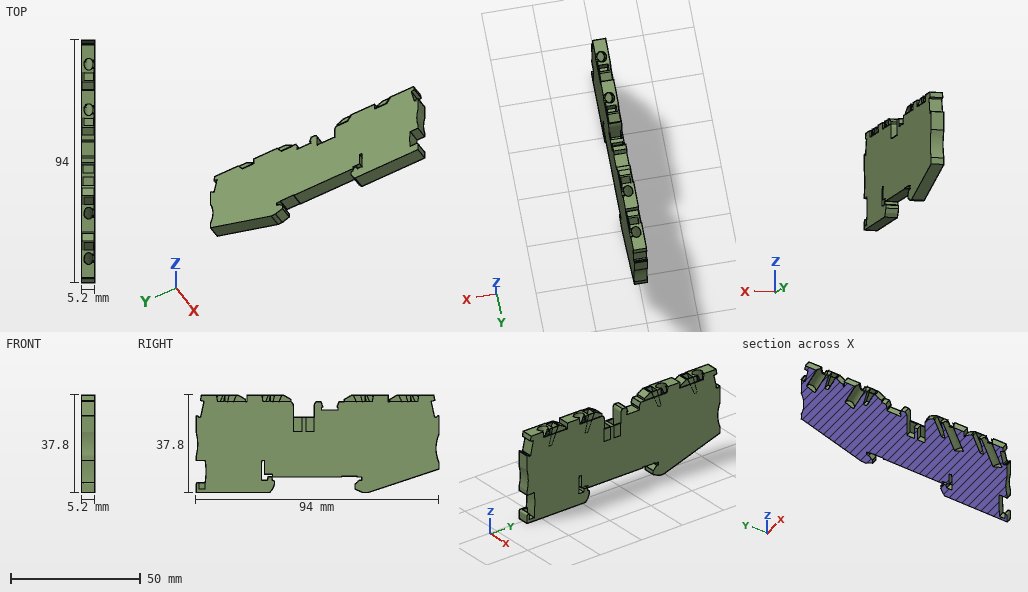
import cadquery as cq
import math

length = 94.0
width = 5.2
height = 37.8
half = length / 2

ledge_z = 35.25
lip_z = 36.1
shoulder_z = 33.6
channel_z = 29.2
rail_z = 6.0
hook_z = 4.9

channel_left = -1.3
channel_right = -9.3
post_corner_mid = (-1.0, 34.7)
channel_corner_mid = (-9.6, 34.5)

slot_edge = -43.5
slot_top = 12.4
slot_bottom = 3.95
slot_bulge = 0.3

heel_radius = 0.75
heel_thickness = 1.1
heel_skin = 0.8
heel_recess_depth = 2.4

left_grip_bottom = 11.7
left_grip_top = 22.7
left_grip_depth = 1.1
right_grip_bottom = 14.3
right_grip_top = 23.3
right_grip_depth = 0.6

pitch = 17.6
terminal_offsets = (0.0, pitch)
slope_start = 16.3
slope_end = 19.2
terminal_end = 19.6
relief_depth = 0.3
relief_start = 12.7
relief_foot = 14.4

tilt = 24.0
hole_x = 2.8
hole_width = 3.6
hole_length = 4.1
hole_from_end = 9.4
hole_depth = 12.2
notch_x = 4.4
notch_start = 7.8
notch_end = 11.1
notch_flare = 0.5
pocket_x = 1.0
pocket_width = 3.7
pocket_start = 12.8
pocket_length = 2.8
pocket_outer_tilt = 14.0
pocket_drop = 7.5

socket_x = 0.6
socket_width = 4.2
socket_length = 3.2
socket_depth = 5.6
socket_centers = (channel_left - socket_length / 2, channel_right + socket_length / 2)


def profile(points, x_start, thickness):
    """Extrude a closed YZ polygon along +X."""
    return cq.Workplane("YZ", origin=(x_start, 0, 0)).polyline(points).close().extrude(thickness)


def at_end(side, points):
    """Turn (distance from end, Z) into (Y, Z) at the +Y (side 1) or -Y (side -1) end."""
    return [(side * (half - inward), z) for inward, z in points]


def end_lip():
    """Finger notch and overhanging lip at the top corner of each end."""
    return [
        (0.0, 29.7),
        (0.4, 29.9),
        (1.1, 29.2),
        (1.7, 29.3),
        (3.0, 35.3),
        (2.1, 35.5),
        (1.6, 35.7),
        (2.0, height),
    ]


def terminal_tops():
    """Tops of the two terminals with the step between them."""
    return [
        (slope_start, height),
        (slope_end, lip_z),
        (slope_end, ledge_z),
        (terminal_end, ledge_z),
        (terminal_end, height),
        (pitch + slope_start, height),
        (pitch + slope_end, lip_z),
        (pitch + slope_end, ledge_z),
    ]


def make_body():
    """Full-width body with its outer contour, before any recesses."""
    top_half = end_lip() + terminal_tops()
    left_top = at_end(1, top_half)
    right_top = at_end(-1, top_half[::-1])
    marker_groove = [
        (8.3, ledge_z),
        (7.4, 33.2),
        (7.8, 33.0),
        (7.8, 32.1),
        (1.6, 32.1),
        (1.6, 33.0),
        (2.1, 33.2),
        (1.3, ledge_z),
        (-0.5, ledge_z),
    ]
    left_grip_mid = (left_grip_bottom + left_grip_top) / 2
    right_grip_mid = (right_grip_bottom + right_grip_top) / 2
    slot_mid = (slot_top + slot_bottom) / 2
    heel_y = heel_radius - half
    heel_z = slot_bottom - heel_radius
    heel_reach = heel_radius * math.sqrt(0.5)
    spring_foot = [
        (-18.5, 0.0),
        (-17.4, 1.4),
        (-16.6, 3.2),
        (-16.6, 4.4),
        (-17.5, hook_z),
        (-17.7, 6.2),
        (-19.2, 6.2),
        (-19.5, hook_z),
        (-21.7, hook_z),
        (-21.7, 11.7),
        (-21.4, 12.4),
        (-20.6, 12.4),
        (-20.6, 7.05),
        (-17.5, 7.05),
        (-17.5, rail_z),
    ]
    fixed_foot = [
        (9.3, rail_z),
        (9.3, 6.3),
        (15.3, 6.3),
        (15.3, rail_z),
        (17.0, rail_z),
        (17.0, hook_z),
        (16.2, hook_z),
        (14.4, 3.2),
        (14.4, 1.4),
        (17.5, 0.0),
        (19.5, 0.0),
        (half, 9.1),
        (half, left_grip_bottom),
    ]
    return (
        cq.Workplane("YZ")
        .polyline(left_top + marker_groove)
        .threePointArc(post_corner_mid, (channel_left, shoulder_z))
        .lineTo(channel_left, channel_z)
        .lineTo(channel_right, channel_z)
        .lineTo(channel_right, shoulder_z)
        .threePointArc(channel_corner_mid, right_top[0])
        .polyline(right_top[1:], includeCurrent=True)
        .lineTo(-half, right_grip_top)
        .threePointArc((right_grip_depth - half, right_grip_mid), (-half, right_grip_bottom))
        .lineTo(-half, slot_top)
        .lineTo(slot_edge, slot_top)
        .threePointArc((slot_edge + slot_bulge, slot_mid), (slot_edge, slot_bottom))
        .lineTo(heel_y, slot_bottom)
        .threePointArc((heel_y - heel_reach, heel_z + heel_reach), (-half, heel_z))
        .lineTo(-half, 0)
        .polyline(spring_foot + fixed_foot, includeCurrent=True)
        .threePointArc((half - left_grip_depth, left_grip_mid), (half, left_grip_top))
        .close()
        .extrude(width)
    )


def heel_recess():
    """Recess in the slot floor between the slot wall and the heel rim."""
    rim_y = heel_thickness - half
    floor_z = slot_bottom - heel_recess_depth
    outline = [
        (slot_edge, slot_bottom),
        (slot_edge, floor_z),
        (rim_y, floor_z),
        (rim_y, slot_bottom),
    ]
    return profile(outline, heel_skin, width - heel_skin)


def side_reliefs(side, offset):
    """Shallow recesses that narrow the inner part of a terminal on both faces."""
    inner = [
        (offset + terminal_end, height),
        (offset + terminal_end, ledge_z),
    ]
    sloped = [
        (offset + relief_foot, ledge_z),
        (offset + relief_start, height),
    ]
    square = [
        (offset + notch_end, ledge_z),
        (offset + notch_end, height),
    ]
    near = profile(at_end(side, inner + sloped), 0, relief_depth)
    far = profile(at_end(side, inner + square), width - relief_depth, relief_depth)
    return near.union(far)


def wire_hole(side, offset):
    """Tilted oval hole with a flared notch that opens it to the +X face."""
    angle = math.radians(tilt)
    axis = cq.Vector(0, side * math.sin(angle), -math.cos(angle))
    mouth = cq.Vector(hole_x, side * (half - offset - hole_from_end), height)
    start = mouth - axis * hole_length
    plane = cq.Plane(origin=start, xDir=(1, 0, 0), normal=axis)
    hole = cq.Workplane(plane).ellipse(hole_width / 2, hole_length / 2).extrude(hole_length + hole_depth)
    notch = [
        (offset + notch_start, height),
        (offset + notch_start + notch_flare, ledge_z),
        (offset + notch_end - notch_flare, ledge_z),
        (offset + notch_end, height),
    ]
    return hole.union(profile(at_end(side, notch), notch_x, width - notch_x))


def release_pocket(side, offset):
    """Tilted rectangular pocket that narrows slightly with depth."""
    outer = offset + pocket_start
    inner = outer + pocket_length
    outer_shift = pocket_drop * math.tan(math.radians(pocket_outer_tilt))
    inner_shift = pocket_drop * math.tan(math.radians(tilt))
    outline = [
        (outer, height),
        (inner, height),
        (inner - inner_shift, height - pocket_drop),
        (outer - outer_shift, height - pocket_drop),
    ]
    return profile(at_end(side, outline), pocket_x, pocket_width)


result = make_body().cut(heel_recess())

for end_side in (1, -1):
    for terminal_offset in terminal_offsets:
        result = result.cut(side_reliefs(end_side, terminal_offset))
        result = result.cut(wire_hole(end_side, terminal_offset))
        result = result.cut(release_pocket(end_side, terminal_offset))

for socket_y in socket_centers:
    socket = (
        cq.Workplane("XY", origin=(socket_x, socket_y, channel_z - socket_depth))
        .box(socket_width, socket_length, socket_depth, centered=(False, True, False))
    )
    result = result.cut(socket)